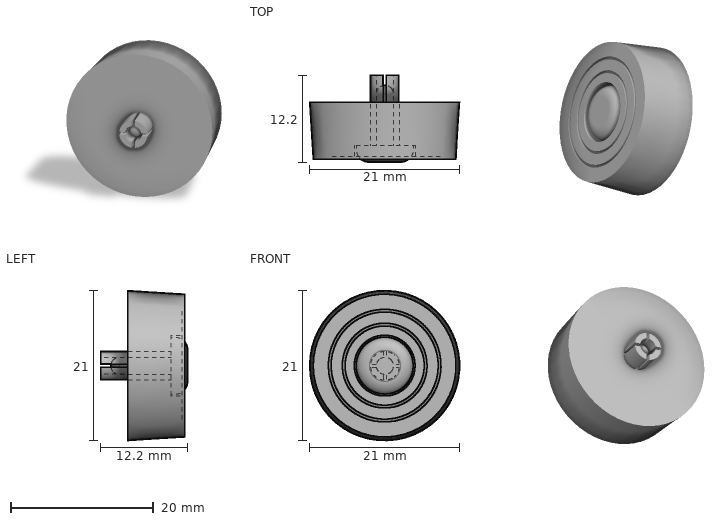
import cadquery as cq

AXIS_START = (0, 0)
AXIS_END = (0, 1)

BACK_RADIUS = 10.5
FRONT_RADIUS = 10.0
HOUSING_LENGTH = 8.0

GROOVE_OUTER_RADII = (7.9, 5.95)
GROOVE_WIDTH = 0.4
GROOVE_DEPTH = 0.4

BUTTON_RADIUS = 4.0
BUTTON_ROUNDING = 1.8
BUTTON_PROTRUSION = 0.4
BUTTON_BACK = 2.0
PIN_RADIUS = 1.2
PIN_STRAIGHT_BEYOND_HOUSING = 1.2
RECESS_RADIUS = 4.26

SLEEVE_RADIUS = 2.02
SLEEVE_PROTRUSION = 3.8
SLOT_WIDTH = 0.45


def cylinder(radius, start, length):
    """Cylinder on the Y axis, running toward +Y from the given position."""
    return cq.Workplane(cq.Solid.makeCylinder(radius, length, cq.Vector(0, start, 0), cq.Vector(0, 1, 0)))


def ring_groove(outer_radius):
    """Ring of material removed from the front face."""
    core = cylinder(outer_radius - GROOVE_WIDTH, 0, GROOVE_DEPTH)
    return cylinder(outer_radius, 0, GROOVE_DEPTH).cut(core)


def make_housing():
    """Conical block with ring grooves, a button recess and a bore for the sleeve."""
    housing = (
        cq.Workplane("XY")
        .lineTo(-FRONT_RADIUS, 0)
        .lineTo(-BACK_RADIUS, HOUSING_LENGTH)
        .lineTo(0, HOUSING_LENGTH)
        .close()
        .revolve(360, AXIS_START, AXIS_END)
    )
    for outer_radius in GROOVE_OUTER_RADII:
        housing = housing.cut(ring_groove(outer_radius))
    housing = housing.cut(cylinder(RECESS_RADIUS, 0, BUTTON_BACK))
    return housing.cut(cylinder(SLEEVE_RADIUS, 0, HOUSING_LENGTH))


def make_contact():
    """Button seated on the recess floor, with its pin running back through the sleeve."""
    rounding_end = BUTTON_ROUNDING - BUTTON_PROTRUSION
    flat_radius = BUTTON_RADIUS - BUTTON_ROUNDING
    pin_shoulder = HOUSING_LENGTH + PIN_STRAIGHT_BEYOND_HOUSING
    return (
        cq.Workplane("XY")
        .moveTo(0, -BUTTON_PROTRUSION)
        .lineTo(-flat_radius, -BUTTON_PROTRUSION)
        .radiusArc((-BUTTON_RADIUS, rounding_end), BUTTON_ROUNDING)
        .lineTo(-BUTTON_RADIUS, BUTTON_BACK)
        .lineTo(-PIN_RADIUS, BUTTON_BACK)
        .lineTo(-PIN_RADIUS, pin_shoulder)
        .radiusArc((0, pin_shoulder + PIN_RADIUS), PIN_RADIUS)
        .close()
        .revolve(360, AXIS_START, AXIS_END)
    )


def make_sleeve():
    """Tube from the recess floor to the rear end, cut into four prongs behind the housing."""
    length = HOUSING_LENGTH + SLEEVE_PROTRUSION - BUTTON_BACK
    sleeve = cylinder(SLEEVE_RADIUS, BUTTON_BACK, length).cut(cylinder(PIN_RADIUS, BUTTON_BACK, length))
    slot = (
        cq.Workplane("XY")
        .box(2 * SLEEVE_RADIUS, SLEEVE_PROTRUSION, SLOT_WIDTH)
        .translate((0, HOUSING_LENGTH + SLEEVE_PROTRUSION / 2, 0))
    )
    for angle in (0, 90):
        sleeve = sleeve.cut(slot.rotate((0, 0, 0), (0, 1, 0), angle))
    return sleeve


housing = make_housing()
contact = make_contact()
sleeve = make_sleeve()

result = cq.Compound.makeCompound([housing.solids().val(), contact.solids().val(), sleeve.solids().val()])